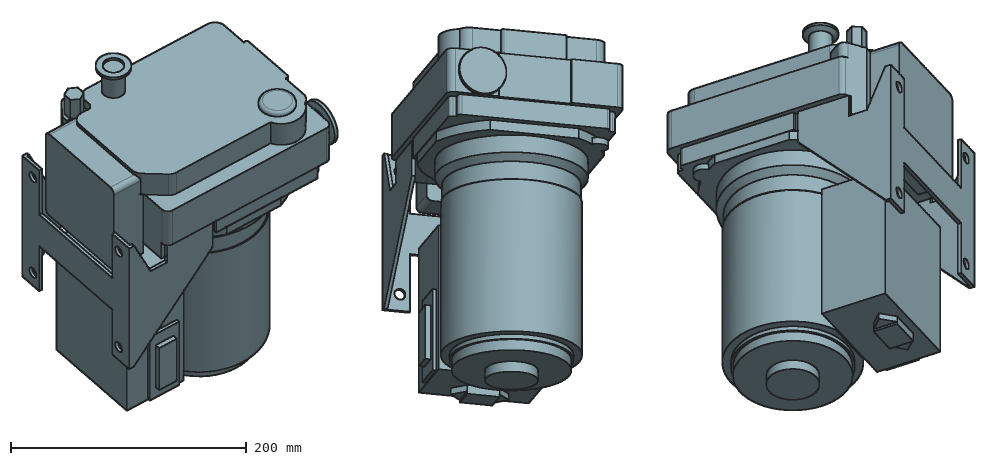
import cadquery as cq
import math

FOOT_Z = 9.2
END_CAP_TOP = 18.7
MOTOR_BOTTOM = 22.8
MOTOR_TOP = 160.0
FLANGE_CONE_BOTTOM = 176.3
FLANGE_CONE_TOP = 182.3
ADAPTER_BOTTOM = 197.8
PLINTH_BOTTOM = 206.7
HEAD_BOTTOM = 224.8
HEAD_TOP = 264.0
COVER_TOP = 288.5
OUTLET_TOP = 317.0

AXIS_X = -1.5
AXIS_Y = 21.0
SPIGOT_RADIUS = 22.5
FOOT_RADIUS = 50.7
END_CAP_RADIUS = 52.5
MOTOR_RADIUS = 60.0
NECK_RADIUS = 59.0
FLANGE_RADIUS = 65.0
MOTOR_FLAT_Y = -34.0

HEAD_WIDTH = 155.0
HEAD_HALF_WIDTH = HEAD_WIDTH / 2
HEAD_FRONT = -76.5
HEAD_BACK = 103.0
HEAD_CORNER = 6.3
BACK_RECESS_LEFT = -31.0
BACK_RECESS_RIGHT = 32.5
BACK_RECESS_DEPTH = 2.2
BACK_RIGHT_DROP = 1.0

COVER_LEFT = -66.3
COVER_RIGHT = 63.0
COVER_FRONT = -82.5
COVER_BACK = 90.7
COVER_CORNER = 10.0
COVER_TAB_LEFT = -29.5
COVER_TAB_RIGHT = 28.0
COVER_TAB_DEPTH = 3.8
COVER_TAB_CORNER = 1.5
COVER_NOTCH_RIGHT = -45.0
COVER_NOTCH_TOP = -60.0
COVER_NOTCH_CORNER = 4.8
COVER_CHAMFER_X = 20.5
COVER_CHAMFER_Y = 24.0
LOBE_X = 54.2
LOBE_Y = 65.5
LOBE_RADIUS = 20.5

PLUG_X = 48.5
PLUG_RADIUS = 16.2
PLUG_HEIGHT = 4.0
PLUG_ROUND = 3.5

PLINTH_HALF_WIDTH = 73.5
PLINTH_BACK = 91.3
PLINTH_TAB_HALF_WIDTH = 67.2
PLINTH_TAB_BACK = 97.3
PLINTH_CORNER = 3.2
BRACKET_SEAT_BACK = -19.5
ADAPTER_RADIUS = 80.2
ADAPTER_HALF_WIDTH = 73.2
ADAPTER_BACK = 91.0
BOLT_X = -62.0
BOLT_Y = 73.2
BOLT_RADIUS = 9.5
BOLT_TOP = 203.5

COLUMN_TOP = 279.5
COLUMN_BACK = (-67.2, -52.0)
COLUMN_TIP = (-78.3, -67.8)
COLUMN_FOOT = (-58.3, -81.8)
COLUMN_RIGHT = -52.3
COLUMN_CORNER = 6.3
HEX_X = -56.5
HEX_Y = -71.0
HEX_ACROSS_FLATS = 14.5
HEX_TOP = 301.8

OUTLET_X = -50.7
OUTLET_Y = -33.0
OUTLET_RADIUS = 10.0
OUTLET_RIM_RADIUS = 15.2
OUTLET_RIM = 2.5
OUTLET_TAPER = 2.5
OUTLET_BORE_RADIUS = 9.2
OUTLET_BORE_DEPTH = 2.5
INLET_X = 50.0
INLET_Z = 242.2
INLET_END = 113.5
INLET_RADIUS = 14.3
INLET_RIM_RADIUS = 20.5
INLET_RIM = 3.5
INLET_TAPER = 1.5

CONTROLLER_LEFT = -48.5
CONTROLLER_RIGHT = 45.3
CONTROLLER_FRONT = -107.8
CONTROLLER_BOTTOM = 191.5
CONTROLLER_TOP = 285.3
CONTROLLER_ROUND = 5.0

TERMINAL_LEFT = -50.0
TERMINAL_RIGHT = 47.0
TERMINAL_FRONT = -95.0
TERMINAL_BOTTOM = 24.5
TERMINAL_TOP = 154.0
PLATE_THICKNESS = 3.2
PLATE_BOTTOM = 25.7
PLATE_TOP = 99.0
SOCKET_PROJECTION = 8.0
SOCKET_BOTTOM = 37.7
SOCKET_TOP = 86.2
PLATE_FRONT = -73.0
PLATE_BACK = -41.2
SOCKET_INSET = 6.3
GLAND_X = -1.5
GLAND_Y = -76.5
GLAND_LENGTH = 28.5
GLAND_WIDTH = 22.8
GLAND_BOTTOM = 16.5
GLAND_END_BOTTOM = 18.7

SHEET = 3.2
BRACKET_HALF_WIDTH = 73.5
BRACKET_FRONT = -113.5
BRACKET_BACK = -23.5
BRACKET_TOP = 223.8
BRACKET_BOTTOM = 102.5
HEEL_Z = 192.5
HEEL_FRONT = -108.7
NOTCH_BACK = -72.5
NOTCH_FRONT = -90.5
NOTCH_FLOOR = 202.5
LEG_TOP = 242.0
LEG_BACK = -108.0
WEB_BOTTOM = 154.5
WEB_TOP = 190.8
OPENING_HALF_WIDTH = 50.0
HOLE_X = 59.0
HOLE_LOW_Z = 117.3
HOLE_HIGH_Z = 227.5
HOLE_RADIUS = 4.8

SEAT_HALF_WIDTH = BRACKET_HALF_WIDTH - SHEET


def block(x0, x1, y0, y1, z0, z1):
    """Box between two opposite corners."""
    return cq.Workplane("XY").box(x1 - x0, y1 - y0, z1 - z0, centered=False).translate((x0, y0, z0))


def disc(x, y, radius, z0, z1):
    """Upright cylinder."""
    return cq.Workplane("XY", origin=(x, y, z0)).circle(radius).extrude(z1 - z0)


def prism(points, z0, z1):
    """Upright prism on a closed polygon."""
    return cq.Workplane("XY", origin=(0, 0, z0)).polyline(points).close().extrude(z1 - z0)


def round_corner(body, point, radius):
    """Fillets the upright edge of a prism that passes through a point in plan."""
    bounds = body.val().BoundingBox()
    middle = (bounds.zmin + bounds.zmax) / 2
    edge = cq.selectors.NearestToPointSelector((point[0], point[1], middle))
    return body.edges("|Z").edges(edge).fillet(radius)


def flanged_pipe(length, radius, rim_radius, rim, taper):
    """Pipe along +Z from the origin, widening through a taper to a rim at its end."""
    profile = [
        (0, 0),
        (radius, 0),
        (radius, length - rim - taper),
        (rim_radius, length - rim),
        (rim_radius, length),
        (0, length),
    ]
    return cq.Workplane("XZ").polyline(profile).close().revolve(360, (0, 0, 0), (0, 1, 0))


def motor():
    """Turned motor with its end cap and flange, flattened where the terminal box sits."""
    profile = [
        (0, 0),
        (SPIGOT_RADIUS, 0),
        (SPIGOT_RADIUS, FOOT_Z),
        (FOOT_RADIUS, FOOT_Z),
        (FOOT_RADIUS, END_CAP_TOP),
        (END_CAP_RADIUS, END_CAP_TOP),
        (END_CAP_RADIUS, MOTOR_BOTTOM),
        (MOTOR_RADIUS, MOTOR_BOTTOM),
        (MOTOR_RADIUS, MOTOR_TOP),
        (NECK_RADIUS, MOTOR_TOP),
        (NECK_RADIUS, FLANGE_CONE_BOTTOM),
        (FLANGE_RADIUS, FLANGE_CONE_TOP),
        (FLANGE_RADIUS, ADAPTER_BOTTOM),
        (0, ADAPTER_BOTTOM),
    ]
    turned = cq.Workplane("XZ").polyline(profile).close().revolve(360, (0, 0, 0), (0, 1, 0))
    beyond_flat = block(
        -MOTOR_RADIUS, MOTOR_RADIUS, MOTOR_FLAT_Y - MOTOR_RADIUS, MOTOR_FLAT_Y, MOTOR_BOTTOM, MOTOR_TOP
    )
    return turned.translate((AXIS_X, AXIS_Y, 0)).cut(beyond_flat)


def adapter():
    """Round plate on the motor axis, cut flat at both sides and the back, with one bolt head."""
    plate = disc(AXIS_X, AXIS_Y, ADAPTER_RADIUS, ADAPTER_BOTTOM, PLINTH_BOTTOM)
    limits = block(
        -ADAPTER_HALF_WIDTH, ADAPTER_HALF_WIDTH, HEAD_FRONT, ADAPTER_BACK, ADAPTER_BOTTOM, PLINTH_BOTTOM
    )
    bolt = disc(BOLT_X, BOLT_Y, BOLT_RADIUS, ADAPTER_BOTTOM, BOLT_TOP)
    return plate.intersect(limits).union(bolt)


def beyond_column_face():
    """Waste outside the slanted face of the drain column, which also trims the head and plinth."""
    slope = (COLUMN_FOOT[1] - COLUMN_TIP[1]) / (COLUMN_FOOT[0] - COLUMN_TIP[0])
    edge_x = -HEAD_HALF_WIDTH
    edge_y = COLUMN_TIP[1] + slope * (edge_x - COLUMN_TIP[0])
    return prism([(edge_x, edge_y), COLUMN_FOOT, (edge_x, COLUMN_FOOT[1])], PLINTH_BOTTOM, HEAD_TOP)


def plinth():
    """Plate under the head with a tab at the back, narrowed at the front to seat the bracket."""
    body = block(
        -PLINTH_HALF_WIDTH, PLINTH_HALF_WIDTH, BRACKET_SEAT_BACK, PLINTH_BACK, PLINTH_BOTTOM, HEAD_BOTTOM
    )
    tab = block(
        -PLINTH_TAB_HALF_WIDTH, PLINTH_TAB_HALF_WIDTH, 0, PLINTH_TAB_BACK, PLINTH_BOTTOM, HEAD_BOTTOM
    )
    seat = block(
        -SEAT_HALF_WIDTH, SEAT_HALF_WIDTH, HEAD_FRONT, BRACKET_SEAT_BACK, PLINTH_BOTTOM, HEAD_BOTTOM
    )
    body = body.edges("|Z and >Y").fillet(PLINTH_CORNER)
    tab = tab.edges("|Z and >Y").fillet(PLINTH_CORNER)
    return body.union(tab).union(seat.cut(beyond_column_face()))


def head():
    """Pump head with rounded corners, a stepped back and its front left corner cut along the column."""
    body = block(-HEAD_HALF_WIDTH, HEAD_HALF_WIDTH, HEAD_FRONT, HEAD_BACK, HEAD_BOTTOM, HEAD_TOP)
    right_back = HEAD_BACK - BACK_RIGHT_DROP
    body = body.cut(
        block(BACK_RECESS_RIGHT, HEAD_HALF_WIDTH, right_back, HEAD_BACK, HEAD_BOTTOM, HEAD_TOP)
    )
    body = body.cut(
        block(
            BACK_RECESS_LEFT,
            BACK_RECESS_RIGHT,
            HEAD_BACK - BACK_RECESS_DEPTH,
            HEAD_BACK,
            HEAD_BOTTOM,
            HEAD_TOP,
        )
    )
    body = body.cut(beyond_column_face())
    return body.edges("|Z and (<X or >X)").fillet(HEAD_CORNER)


def cover():
    """Cover plate with a back tab, a right lobe, a chamfered corner and a notch for the column."""
    outline = [
        (COVER_LEFT, COVER_BACK),
        (COVER_LEFT, COVER_NOTCH_TOP),
        (COVER_NOTCH_RIGHT, COVER_NOTCH_TOP),
        (COVER_NOTCH_RIGHT, COVER_FRONT),
        (COVER_RIGHT - COVER_CHAMFER_X, COVER_FRONT),
        (COVER_RIGHT, COVER_FRONT + COVER_CHAMFER_Y),
        (COVER_RIGHT, COVER_BACK),
    ]
    plate = prism(outline, HEAD_TOP, COVER_TOP)
    notch_inside = outline[2]
    for point in outline:
        radius = COVER_NOTCH_CORNER if point == notch_inside else COVER_CORNER
        plate = round_corner(plate, point, radius)
    tab = block(COVER_TAB_LEFT, COVER_TAB_RIGHT, 0, COVER_BACK + COVER_TAB_DEPTH, HEAD_TOP, COVER_TOP)
    tab = tab.edges("|Z and >Y").fillet(COVER_TAB_CORNER)
    lobe = disc(LOBE_X, LOBE_Y, LOBE_RADIUS, HEAD_TOP, COVER_TOP)
    plug = disc(PLUG_X, LOBE_Y, PLUG_RADIUS, COVER_TOP, COVER_TOP + PLUG_HEIGHT)
    plug = plug.faces(">Z").edges().fillet(PLUG_ROUND)
    return plate.union(tab).union(lobe).union(plug)


def drain_column():
    """Slanted column at the front left corner of the head, carrying a hexagonal plug."""
    outline = [
        COLUMN_BACK,
        COLUMN_TIP,
        COLUMN_FOOT,
        (COLUMN_RIGHT, COLUMN_FOOT[1]),
        (COLUMN_RIGHT, HEAD_FRONT),
        (COVER_NOTCH_RIGHT, HEAD_FRONT),
        (COVER_NOTCH_RIGHT, COLUMN_BACK[1]),
    ]
    column = prism(outline, PLINTH_BOTTOM, COLUMN_TOP)
    column = round_corner(column, COLUMN_TIP, COLUMN_CORNER)
    beside_plinth = block(
        -HEAD_HALF_WIDTH, -SEAT_HALF_WIDTH, COLUMN_FOOT[1], COLUMN_BACK[1], PLINTH_BOTTOM, HEAD_BOTTOM
    )
    across_corners = HEX_ACROSS_FLATS / math.cos(math.pi / 6)
    plug = (
        cq.Workplane("XY", origin=(HEX_X, HEX_Y, COLUMN_TOP))
        .polygon(6, across_corners)
        .extrude(HEX_TOP - COLUMN_TOP)
    )
    return column.cut(beside_plinth).union(plug)


def outlet():
    """Upright port on the cover with a shallow bore."""
    pipe = flanged_pipe(
        OUTLET_TOP - COVER_TOP, OUTLET_RADIUS, OUTLET_RIM_RADIUS, OUTLET_RIM, OUTLET_TAPER
    )
    pipe = pipe.faces(">Z").workplane().circle(OUTLET_BORE_RADIUS).cutBlind(-OUTLET_BORE_DEPTH)
    return pipe.translate((OUTLET_X, OUTLET_Y, COVER_TOP))


def inlet():
    """Port on the back of the head, pointing along +Y."""
    start = HEAD_BACK - BACK_RIGHT_DROP
    pipe = flanged_pipe(INLET_END - start, INLET_RADIUS, INLET_RIM_RADIUS, INLET_RIM, INLET_TAPER)
    return pipe.rotate((0, 0, 0), (1, 0, 0), -90).translate((INLET_X, start, INLET_Z))


def make_pump():
    """Motor, head and ports joined into one solid."""
    pump = motor()
    for feature in (adapter(), plinth(), head(), cover(), drain_column(), outlet(), inlet()):
        pump = pump.union(feature)
    return pump


def make_controller_box():
    """Box against the head front, with edges rounded along Y and room for the cover's overhang."""
    box = block(
        CONTROLLER_LEFT,
        CONTROLLER_RIGHT,
        CONTROLLER_FRONT,
        HEAD_FRONT,
        CONTROLLER_BOTTOM,
        CONTROLLER_TOP,
    )
    return box.edges("|Y").fillet(CONTROLLER_ROUND).cut(cover())


def gland():
    """Block under the terminal box with a pointed, slightly shorter end on each side."""
    half_length = GLAND_LENGTH / 2
    half_width = GLAND_WIDTH / 2
    middle = block(
        GLAND_X - half_length,
        GLAND_X + half_length,
        GLAND_Y - half_width,
        GLAND_Y + half_width,
        GLAND_BOTTOM,
        TERMINAL_BOTTOM,
    )
    tip = half_length + half_width
    pointed = [
        (GLAND_X - tip, GLAND_Y),
        (GLAND_X - half_length, GLAND_Y - half_width),
        (GLAND_X + half_length, GLAND_Y - half_width),
        (GLAND_X + tip, GLAND_Y),
        (GLAND_X + half_length, GLAND_Y + half_width),
        (GLAND_X - half_length, GLAND_Y + half_width),
    ]
    return middle.union(prism(pointed, GLAND_END_BOTTOM, TERMINAL_BOTTOM))


def make_terminal_box():
    """Box on the motor's flat with a stepped socket on its +X side and a gland underneath."""
    box = block(
        TERMINAL_LEFT, TERMINAL_RIGHT, TERMINAL_FRONT, MOTOR_FLAT_Y, TERMINAL_BOTTOM, TERMINAL_TOP
    )
    plate = block(
        TERMINAL_RIGHT,
        TERMINAL_RIGHT + PLATE_THICKNESS,
        PLATE_FRONT,
        PLATE_BACK,
        PLATE_BOTTOM,
        PLATE_TOP,
    )
    socket = block(
        TERMINAL_RIGHT,
        TERMINAL_RIGHT + SOCKET_PROJECTION,
        PLATE_FRONT + SOCKET_INSET,
        PLATE_BACK - SOCKET_INSET,
        SOCKET_BOTTOM,
        SOCKET_TOP,
    )
    return box.union(plate).union(socket).union(gland())


def make_bracket():
    """Sheet bracket: an H-shaped front between two mirrored side plates."""
    side_outline = [
        (BRACKET_BACK, BRACKET_TOP),
        (NOTCH_BACK, BRACKET_TOP),
        (NOTCH_BACK, NOTCH_FLOOR),
        (NOTCH_FRONT, NOTCH_FLOOR),
        (LEG_BACK, LEG_TOP),
        (BRACKET_FRONT, LEG_TOP),
        (BRACKET_FRONT, BRACKET_BOTTOM),
        (HEEL_FRONT, BRACKET_BOTTOM),
        (BRACKET_BACK, HEEL_Z),
    ]
    side = cq.Workplane("YZ").polyline(side_outline).close().extrude(SHEET)
    left = side.translate((-BRACKET_HALF_WIDTH, 0, 0))
    right = side.translate((BRACKET_HALF_WIDTH - SHEET, 0, 0))
    front_back = BRACKET_FRONT + SHEET
    front = block(
        -BRACKET_HALF_WIDTH, BRACKET_HALF_WIDTH, BRACKET_FRONT, front_back, BRACKET_BOTTOM, LEG_TOP
    )
    for z0, z1 in ((BRACKET_BOTTOM, WEB_BOTTOM), (WEB_TOP, LEG_TOP)):
        front = front.cut(
            block(-OPENING_HALF_WIDTH, OPENING_HALF_WIDTH, BRACKET_FRONT, front_back, z0, z1)
        )
    holes = (
        cq.Workplane("XZ", origin=(0, front_back, 0))
        .pushPoints([(x, z) for x in (-HOLE_X, HOLE_X) for z in (HOLE_LOW_Z, HOLE_HIGH_Z)])
        .circle(HOLE_RADIUS)
        .extrude(SHEET)
    )
    return left.union(right).union(front.cut(holes))


pump = make_pump()
controller_box = make_controller_box()
terminal_box = make_terminal_box()
bracket = make_bracket()

result = cq.Compound.makeCompound(
    [pump.val(), controller_box.val(), terminal_box.val(), bracket.val()]
)